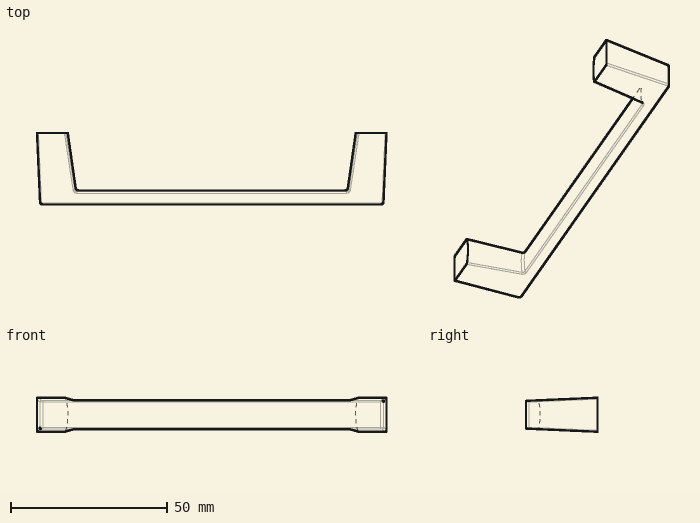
import cadquery as cq
import math

length = 112.0
projection = 23.0
foot_height = 11.0

bar_thickness = 4.6
leg_width = 9.95
outer_draft = math.radians(2.5)
inner_draft = math.radians(8.1)
inner_crown = 0.75

end_corner_radius = 1.0
inner_corner_radius = 0.8
outer_radius = 0.5
inner_radius = 0.5

half_length = length / 2
half_height = foot_height / 2
outer_narrowing = projection * math.tan(outer_draft)
front_half_length = half_length - outer_narrowing
front_half_height = half_height - outer_narrowing
front_y = -projection
bar_back_y = front_y + bar_thickness
foot_inner_x = half_length - leg_width
front_inner_x = foot_inner_x - projection * math.tan(inner_draft)
corner_inner_x = foot_inner_x + bar_back_y * math.tan(inner_draft)


def tapered_block():
    """Solid block that narrows from the feet to the front of the grip."""
    return (
        cq.Workplane("XZ")
        .rect(length, foot_height)
        .workplane(offset=projection)
        .rect(2 * front_half_length, 2 * front_half_height)
        .loft(ruled=True)
    )


def crowned_section(plane, origin, outer, inner):
    """Upright cross-section with a flat outer side and a crowned inner side."""
    shoulder = inner + math.copysign(inner_crown, outer - inner)
    return (
        cq.Workplane(plane, origin=origin)
        .moveTo(outer, -half_height)
        .lineTo(shoulder, -half_height)
        .threePointArc((inner, 0), (shoulder, half_height))
        .lineTo(outer, half_height)
        .close()
    )


def grip_bar():
    """Straight bar over the full length, with a crowned back."""
    section = crowned_section("YZ", (-half_length, 0, 0), front_y, bar_back_y)
    return section.extrude(length)


def right_leg():
    """Leg whose inner face leans towards the middle as it nears the grip."""
    foot = crowned_section("XZ", (0, 0, 0), half_length, foot_inner_x)
    front = crowned_section("XZ", (0, front_y, 0), half_length, front_inner_x)
    return cq.Workplane(cq.Solid.makeLoft([foot.val(), front.val()], True))


def sharp_bow():
    """Bar and both legs, trimmed to the tapered block."""
    leg = right_leg()
    return grip_bar().union(leg).union(leg.mirror("YZ")).intersect(tapered_block())


def round_edges(body, points, radius):
    """Fillet the edge nearest to each point, with the edges that run on smoothly from it."""
    for point in points:
        body = body.edges(cq.selectors.NearestToPointSelector(point)).fillet(radius)
    return body


def rounded_bow():
    """Bow with every edge rounded except those around the feet."""
    end_corners = [(x, front_y, 0) for x in (-front_half_length, front_half_length)]
    inner_corners = [(x, bar_back_y, 0) for x in (-corner_inner_x, corner_inner_x)]
    inner_edges = [(0, bar_back_y, z) for z in (-half_height, half_height)]
    outer_edges = [(0, front_y, z) for z in (-front_half_height, front_half_height)]

    body = round_edges(sharp_bow(), end_corners, end_corner_radius)
    body = round_edges(body, inner_corners, inner_corner_radius)
    body = round_edges(body, inner_edges, inner_radius)
    return round_edges(body, outer_edges, outer_radius)


result = rounded_bow()